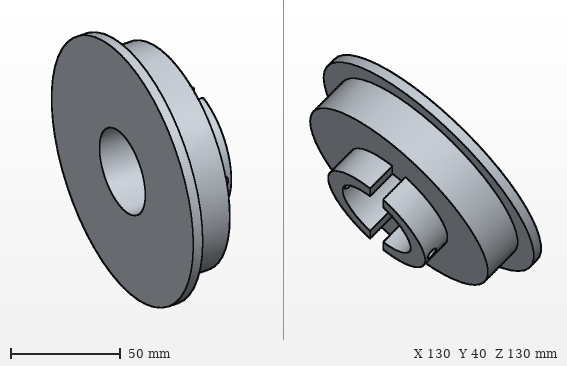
import cadquery as cq

flange_diameter = 130.0
body_diameter = 110.0
hub_diameter = 60.0
bore_diameter = 42.0
total_length = 40.0
flange_thickness = 5.0
hub_length = 15.1
slot_width = 8.0
pin_hole_diameter = 5.8
pin_hole_end_distance = 4.5

body_end = total_length - hub_length


def cylinder_along_y(diameter, length):
    """Cylinder on the Y axis, running from Y = 0 to Y = length."""
    return cq.Workplane("XZ").circle(diameter / 2).extrude(-length)


flange = cylinder_along_y(flange_diameter, flange_thickness)
body = cylinder_along_y(body_diameter, body_end)
hub = cylinder_along_y(hub_diameter, total_length)
bore = cylinder_along_y(bore_diameter, total_length)
stepped_body = flange.union(body).union(hub).cut(bore)

slot = (
    cq.Workplane("XY")
    .box(slot_width, hub_length, hub_diameter)
    .translate((0, body_end + hub_length / 2, 0))
)

pin_hole = (
    cq.Workplane("YZ")
    .center(total_length - pin_hole_end_distance, 0)
    .circle(pin_hole_diameter / 2)
    .extrude(hub_diameter / 2, both=True)
)

result = stepped_body.cut(slot).cut(pin_hole)